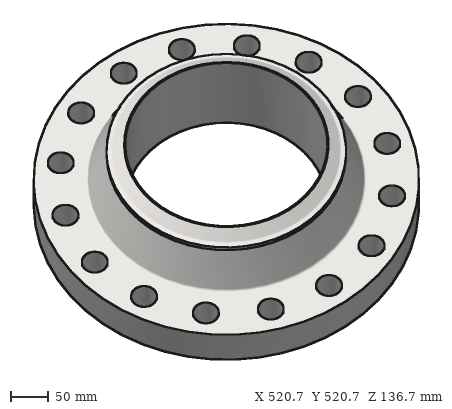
import cadquery as cq
import math


flange_diameter = 520.7
flange_thickness = 57.15

bolt_hole_count = 16
bolt_hole_diameter = 34.925
bolt_circle_diameter = 450.85

overall_height = 136.65
bore_diameter = 273.05
hub_base_diameter = 374.65
neck_diameter = 323.85
neck_length = 6.35
hub_fillet_radius = 4.0

edge_margin = 0.01

rim_width = 1.6
shoulder_inner_diameter = 309.8
shoulder_drop = 1.2
bevel_fillet_radius = 3.0
bevel_angle = 37.5

bore_radius = bore_diameter / 2
flange_radius = flange_diameter / 2
hub_base_radius = hub_base_diameter / 2
neck_radius = neck_diameter / 2
rim_radius = bore_radius + rim_width
shoulder_inner_radius = shoulder_inner_diameter / 2

bevel_height = (shoulder_inner_radius - rim_radius) * math.tan(math.radians(bevel_angle))
bevel_bottom_z = overall_height - bevel_height
neck_top_z = bevel_bottom_z - shoulder_drop
neck_bottom_z = neck_top_z - neck_length


def fillet_corner(body, corner_radius, corner_z, fillet_radius):
    """Round the circular edge that passes through the given radius and height."""
    ring = body.edges("%CIRCLE").edges(cq.selectors.BoxSelector(
        (-corner_radius - edge_margin, -corner_radius - edge_margin, corner_z - edge_margin),
        (corner_radius + edge_margin, corner_radius + edge_margin, corner_z + edge_margin),
        boundingbox=True,
    ))
    return ring.fillet(fillet_radius)


def make_body():
    """Revolve the flange, tapered hub and bevelled weld end as one ring."""
    body = (
        cq.Workplane("XZ")
        .moveTo(bore_radius, 0)
        .lineTo(flange_radius, 0)
        .lineTo(flange_radius, flange_thickness)
        .lineTo(hub_base_radius, flange_thickness)
        .lineTo(neck_radius, neck_bottom_z)
        .lineTo(neck_radius, neck_top_z)
        .lineTo(shoulder_inner_radius, bevel_bottom_z)
        .lineTo(rim_radius, overall_height)
        .lineTo(bore_radius, overall_height)
        .close()
        .revolve(360, (0, 0, 0), (0, 1, 0))
    )
    body = fillet_corner(body, hub_base_radius, flange_thickness, hub_fillet_radius)
    return fillet_corner(body, shoulder_inner_radius, bevel_bottom_z, bevel_fillet_radius)


def make_bolt_holes():
    """Through holes spaced evenly on the bolt circle."""
    return (
        cq.Workplane("XY")
        .polarArray(bolt_circle_diameter / 2, 0, 360, bolt_hole_count)
        .circle(bolt_hole_diameter / 2)
        .extrude(flange_thickness)
    )


result = make_body().cut(make_bolt_holes())